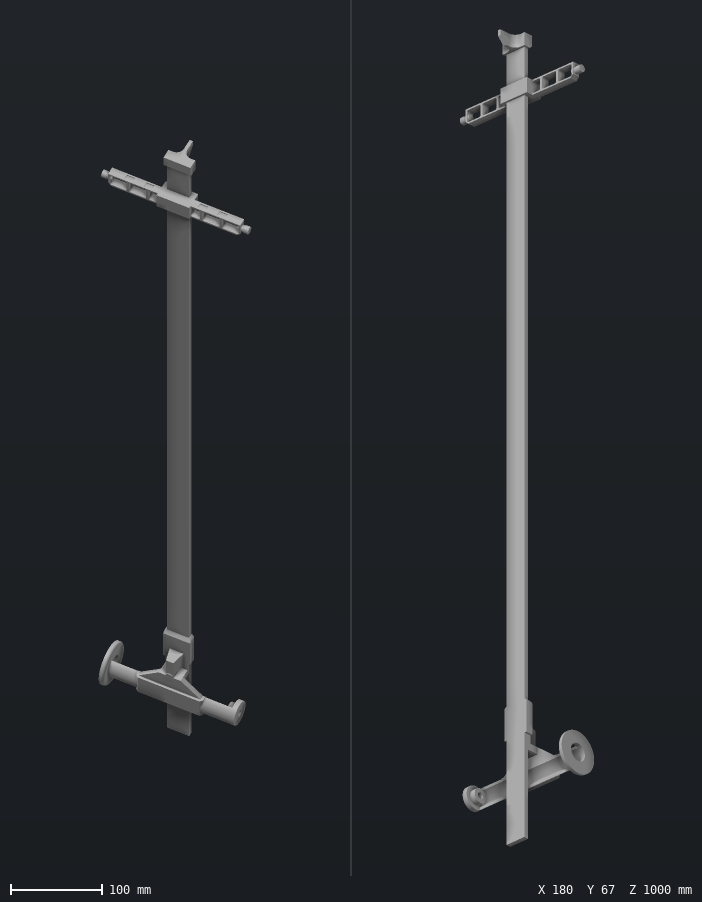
import cadquery as cq

TOTAL_HEIGHT = 1000.0
BAR_WIDTH = 27.0
BAR_DEPTH = 6.0

CAP_WIDTH = 33.0
CAP_DEPTH = 12.0
CAP_HEIGHT = 16.0
CAP_CHAMFER = 3.0
CAP_ROOF = 5.0
FIN_TIP_Y = 29.0
FIN_THICKNESS = 4.0
FIN_TIP_HEIGHT = 7.0
FIN_SLOPE_RUN = 9.0
FIN_ROOT_RADIUS = 9.0

BEAM_LENGTH = 162.0
BEAM_FRONT_Y = -13.0
BEAM_BACK_Y = -3.0
BEAM_TOP_Z = 943.0
BEAM_HEIGHT = 19.0
BEAM_WALL = 2.0
BEAM_END_CHAMFER = 4.0
POST_WIDTH = 3.0
POST_X = (33.0, 57.0)
WINDOW_FILLET = 2.0
RECESS_WIDTH = 10.0
RECESS_DEPTH = 1.0
RECESS_INSET = 2.0
BLOCK_WIDTH = 40.0
BLOCK_FRONT_Y = -16.0
BLOCK_BACK_Y = 6.0

OVERALL_WIDTH = 180.0
PIN_HEAD_RADIUS = 4.5
PIN_NECK_RADIUS = 4.0
PIN_HEAD_LENGTH = 6.0
PIN_SEAT_DEPTH = 4.0

AXIS_Y = -12.0
AXIS_Z = 87.0
TROUGH_RADIUS = 14.5
TROUGH_WALL = 3.0
TROUGH_EDGE_Y = -18.0
TROUGH_END_X = 80.0
END_WALL = 6.0
BOSS_RADIUS = 9.0
BOSS_LENGTH = 7.0
SPINDLE_HOLE_RADIUS = 4.0
COLLAR_BORE_RADIUS = 11.0
HUB_WIDTH = 82.0
HUB_TOP_Z = 101.0
HUB_BOTTOM_Z = 76.0
HUB_FRONT_Y = -27.0
HUB_CHAMFER = 3.0
GUSSET_FRONT_Y = -24.0
GUSSET_BASE_WIDTH = 76.0
GUSSET_TOP_WIDTH = 27.0
GUSSET_TOP_Z = 120.0
BRIDGE_BOTTOM_Z = 111.0
CLAMP_WIDTH = 33.0
CLAMP_FRONT_Y = -7.0
CLAMP_BOTTOM_Z = 130.0
CLAMP_TOP_Z = 172.0
CLAMP_CHAMFER = 4.0
CLAMP_SIDE_CHAMFER = 2.0
LUG_TOP_Z = 146.0
LUG_BOTTOM_Z = 124.0
LUG_BACK_WIDTH = 17.0
LUG_FRONT_WIDTH = 9.0
NUB_RADIUS = 5.0
NUB_PROUD = 1.0

DISC_RADIUS = 26.0
DISC_THICKNESS = 6.0
DISC_FILLET = 3.0


def box(x_range, y_range, z_range):
    """Axis-aligned box given by its limits along X, Y and Z."""
    size = [high - low for low, high in (x_range, y_range, z_range)]
    corner = cq.Vector(x_range[0], y_range[0], z_range[0])
    return cq.Workplane(cq.Solid.makeBox(*size, corner))


def centred_box(width, y_range, z_range):
    """Box centred on x = 0."""
    return box((-width / 2, width / 2), y_range, z_range)


def x_cylinder(radius, x_start, x_end, y, z):
    """Cylinder along X between two X positions."""
    start = cq.Vector(x_start, y, z)
    return cq.Workplane(cq.Solid.makeCylinder(radius, x_end - x_start, start, cq.Vector(1, 0, 0)))


def bar_space(bottom_z, top_z):
    """The stretch of the bar's section between two heights."""
    return centred_box(BAR_WIDTH, (-BAR_DEPTH / 2, BAR_DEPTH / 2), (bottom_z, top_z))


def make_bar():
    return bar_space(0, TOTAL_HEIGHT - CAP_ROOF)


def make_cap():
    bottom_z = TOTAL_HEIGHT - CAP_HEIGHT
    half_depth = CAP_DEPTH / 2
    body = centred_box(CAP_WIDTH, (-half_depth, half_depth), (bottom_z, TOTAL_HEIGHT))
    body = body.faces("<Z").edges("<Y").chamfer(CAP_CHAMFER)

    fin_outline = [
        (half_depth, bottom_z),
        (FIN_TIP_Y - FIN_SLOPE_RUN, bottom_z),
        (FIN_TIP_Y, TOTAL_HEIGHT - FIN_TIP_HEIGHT),
        (FIN_TIP_Y, TOTAL_HEIGHT),
        (half_depth, TOTAL_HEIGHT),
    ]
    fin = cq.Workplane("YZ").polyline(fin_outline).close().extrude(FIN_THICKNESS / 2, both=True)

    root_zone = cq.selectors.BoxSelector(
        (-FIN_THICKNESS, half_depth - FIN_THICKNESS, bottom_z),
        (FIN_THICKNESS, half_depth + FIN_THICKNESS, TOTAL_HEIGHT),
    )
    cap = body.union(fin)
    cap = cap.edges(root_zone).edges("|Z").fillet(FIN_ROOT_RADIUS)
    return cap.cut(bar_space(bottom_z, TOTAL_HEIGHT - CAP_ROOF))


def beam_windows(side):
    """Rounded windows through the beam on one side, between block, posts and end wall."""
    half_post = POST_WIDTH / 2
    starts = [BLOCK_WIDTH / 2] + [x + half_post for x in POST_X]
    ends = [x - half_post for x in POST_X] + [BEAM_LENGTH / 2 - BEAM_WALL]
    z_range = (BEAM_TOP_Z - BEAM_HEIGHT + BEAM_WALL, BEAM_TOP_Z - BEAM_WALL)
    windows = cq.Workplane()
    for start, end in zip(starts, ends):
        x_range = sorted((side * start, side * end))
        window = box(x_range, (BEAM_FRONT_Y, BEAM_BACK_Y), z_range)
        windows = windows.add(window.edges("|Y").fillet(WINDOW_FILLET))
    return windows.combine()


def top_recesses(side):
    """Shallow recesses in the beam top on one side, one above each post."""
    y_range = (BEAM_FRONT_Y + RECESS_INSET, BEAM_BACK_Y - RECESS_INSET)
    z_range = (BEAM_TOP_Z - RECESS_DEPTH, BEAM_TOP_Z)
    recesses = cq.Workplane()
    for post_x in POST_X:
        centre_x = side * post_x
        x_range = (centre_x - RECESS_WIDTH / 2, centre_x + RECESS_WIDTH / 2)
        recesses = recesses.add(box(x_range, y_range, z_range))
    return recesses.combine()


def make_pin(side):
    """Journal pin: a neck seated in one end of the beam and a wider head outside it."""
    seat_x = side * (BEAM_LENGTH / 2 - PIN_SEAT_DEPTH)
    tip_x = side * OVERALL_WIDTH / 2
    head_x = tip_x - side * PIN_HEAD_LENGTH
    pin_y = (BEAM_FRONT_Y + BEAM_BACK_Y) / 2
    pin_z = BEAM_TOP_Z - BEAM_HEIGHT / 2
    neck = x_cylinder(PIN_NECK_RADIUS, *sorted((seat_x, head_x)), pin_y, pin_z)
    head = x_cylinder(PIN_HEAD_RADIUS, *sorted((head_x, tip_x)), pin_y, pin_z)
    return neck.union(head)


def make_slider():
    z_range = (BEAM_TOP_Z - BEAM_HEIGHT, BEAM_TOP_Z)
    beam = centred_box(BEAM_LENGTH, (BEAM_FRONT_Y, BEAM_BACK_Y), z_range)
    beam = beam.faces("<Z").edges("|Y").chamfer(BEAM_END_CHAMFER)
    block = centred_box(BLOCK_WIDTH, (BLOCK_FRONT_Y, BLOCK_BACK_Y), z_range)
    slider = beam.union(block).cut(bar_space(*z_range))
    for side in (-1, 1):
        slider = slider.cut(beam_windows(side)).cut(top_recesses(side)).cut(make_pin(side))
    return slider


def trough():
    """Curved shell in front of the spindle axis, with a bearing wall and a collar at its ends."""
    inner_radius = TROUGH_RADIUS - TROUGH_WALL
    shell = x_cylinder(TROUGH_RADIUS, -TROUGH_END_X, TROUGH_END_X, AXIS_Y, AXIS_Z)
    shell = shell.cut(x_cylinder(inner_radius, -TROUGH_END_X, TROUGH_END_X, AXIS_Y, AXIS_Z))
    front_half = centred_box(
        2 * TROUGH_END_X,
        (AXIS_Y - TROUGH_RADIUS, TROUGH_EDGE_Y),
        (AXIS_Z - TROUGH_RADIUS, AXIS_Z + TROUGH_RADIUS),
    )
    shell = shell.intersect(front_half)

    wall_x = TROUGH_END_X - END_WALL
    wall = x_cylinder(TROUGH_RADIUS, wall_x, TROUGH_END_X, AXIS_Y, AXIS_Z)
    boss = x_cylinder(BOSS_RADIUS, wall_x - BOSS_LENGTH, wall_x, AXIS_Y, AXIS_Z)
    spindle_hole = x_cylinder(SPINDLE_HOLE_RADIUS, wall_x - BOSS_LENGTH, TROUGH_END_X, AXIS_Y, AXIS_Z)
    bearing = wall.union(boss).cut(spindle_hole)

    collar_x = (-TROUGH_END_X, DISC_THICKNESS - TROUGH_END_X)
    collar = x_cylinder(TROUGH_RADIUS, *collar_x, AXIS_Y, AXIS_Z)
    collar = collar.cut(x_cylinder(COLLAR_BORE_RADIUS, *collar_x, AXIS_Y, AXIS_Z))
    return shell.union(bearing).union(collar)


def hub():
    """Flat-fronted plate over the trough with a tapering gusset rising from it."""
    plate = centred_box(HUB_WIDTH, (HUB_FRONT_Y, TROUGH_EDGE_Y), (HUB_BOTTOM_Z, HUB_TOP_Z))
    plate = plate.faces("<Y").edges("|Z").chamfer(HUB_CHAMFER)
    gusset_outline = [
        (-GUSSET_BASE_WIDTH / 2, HUB_TOP_Z),
        (GUSSET_BASE_WIDTH / 2, HUB_TOP_Z),
        (GUSSET_TOP_WIDTH / 2, GUSSET_TOP_Z),
        (-GUSSET_TOP_WIDTH / 2, GUSSET_TOP_Z),
    ]
    gusset_depth = TROUGH_EDGE_Y - GUSSET_FRONT_Y
    gusset = cq.Workplane("XZ", origin=(0, TROUGH_EDGE_Y, 0)).polyline(gusset_outline).close()
    gusset = gusset.extrude(gusset_depth)
    spindle_room = x_cylinder(
        TROUGH_RADIUS - TROUGH_WALL, -HUB_WIDTH / 2, HUB_WIDTH / 2, AXIS_Y, AXIS_Z
    )
    return plate.union(gusset).cut(spindle_room)


def clamp():
    """Channel around the bar's front and sides, bridged forward to the gusset."""
    bar_front_y = -BAR_DEPTH / 2
    channel = centred_box(CLAMP_WIDTH, (CLAMP_FRONT_Y, -bar_front_y), (CLAMP_BOTTOM_Z, CLAMP_TOP_Z))
    channel = channel.faces("<Y").edges(">Z").chamfer(CLAMP_CHAMFER)
    channel = channel.faces("<X or >X").edges(">Z").chamfer(CLAMP_SIDE_CHAMFER)
    channel = channel.cut(bar_space(CLAMP_BOTTOM_Z, CLAMP_TOP_Z))
    tongue = centred_box(GUSSET_TOP_WIDTH, (CLAMP_FRONT_Y, bar_front_y), (BRIDGE_BOTTOM_Z, CLAMP_BOTTOM_Z))
    bridge = centred_box(GUSSET_TOP_WIDTH, (TROUGH_EDGE_Y, CLAMP_FRONT_Y), (BRIDGE_BOTTOM_Z, GUSSET_TOP_Z))
    return channel.union(tongue).union(bridge)


def lug():
    """Drafted lug on the clamp front, ending below in a round nub."""
    lug_outline = [
        (-LUG_BACK_WIDTH / 2, CLAMP_FRONT_Y),
        (LUG_BACK_WIDTH / 2, CLAMP_FRONT_Y),
        (LUG_FRONT_WIDTH / 2, GUSSET_FRONT_Y),
        (-LUG_FRONT_WIDTH / 2, GUSSET_FRONT_Y),
    ]
    body = cq.Workplane("XY").workplane(offset=LUG_BOTTOM_Z).polyline(lug_outline).close()
    body = body.extrude(LUG_TOP_Z - LUG_BOTTOM_Z)
    nub_length = CLAMP_FRONT_Y - GUSSET_FRONT_Y + NUB_PROUD
    nub = cq.Workplane("XZ", origin=(0, CLAMP_FRONT_Y, GUSSET_TOP_Z)).circle(NUB_RADIUS)
    return body.union(nub.extrude(nub_length))


def make_carrier():
    return trough().union(hub()).union(clamp()).union(lug())


def make_disc():
    x_range = (-TROUGH_END_X, DISC_THICKNESS - TROUGH_END_X)
    disc = x_cylinder(DISC_RADIUS, *x_range, AXIS_Y, AXIS_Z).faces(">X").edges().fillet(DISC_FILLET)
    return disc.cut(x_cylinder(TROUGH_RADIUS, *x_range, AXIS_Y, AXIS_Z))


bar = make_bar()
cap = make_cap()
slider = make_slider()
pins = [make_pin(side) for side in (-1, 1)]
carrier = make_carrier()
disc = make_disc()

result = cq.Compound.makeCompound(
    [bar.val(), cap.val(), slider.val(), *[pin.val() for pin in pins], carrier.val(), disc.val()]
)